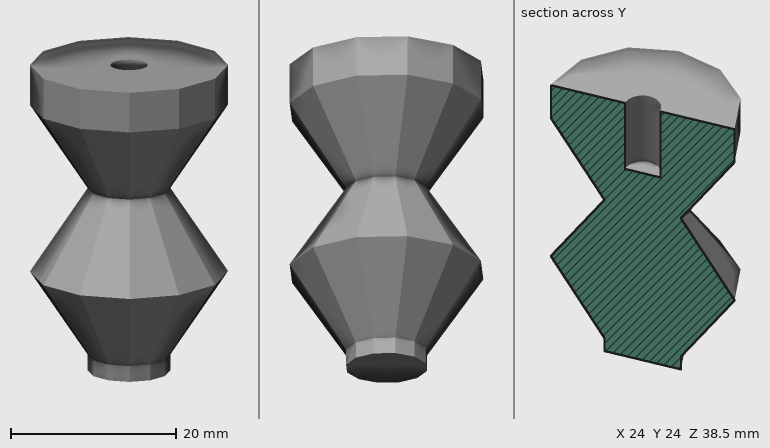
import cadquery as cq

SIDES = 12
TOTAL_HEIGHT = 38.5
WIDE_DIAMETER = 24.0
NARROW_DIAMETER = 10.0
FOOT_HEIGHT = 2.0
HEAD_HEIGHT = 5.0
TAPER_COUNT = 3
HOLE_DIAMETER = 4.5
HOLE_DEPTH = 10.0

taper_height = (TOTAL_HEIGHT - FOOT_HEIGHT - HEAD_HEIGHT) / TAPER_COUNT


def prism(base_z, diameter, height):
    """Straight twelve-sided section with corners on the X and Y axes."""
    return cq.Workplane("XY", origin=(0, 0, base_z)).polygon(SIDES, diameter).extrude(height)


def taper(base_z, bottom_diameter, top_diameter):
    """Twelve-sided frustum between two cross sections."""
    return (
        cq.Workplane("XY", origin=(0, 0, base_z))
        .polygon(SIDES, bottom_diameter)
        .workplane(offset=taper_height)
        .polygon(SIDES, top_diameter)
        .loft(ruled=True)
    )


body = prism(0, NARROW_DIAMETER, FOOT_HEIGHT)

bottom_diameter, top_diameter = NARROW_DIAMETER, WIDE_DIAMETER
for index in range(TAPER_COUNT):
    body = body.union(taper(FOOT_HEIGHT + index * taper_height, bottom_diameter, top_diameter))
    bottom_diameter, top_diameter = top_diameter, bottom_diameter

body = body.union(prism(TOTAL_HEIGHT - HEAD_HEIGHT, WIDE_DIAMETER, HEAD_HEIGHT))

result = body.faces(">Z").workplane(origin=(0, 0, TOTAL_HEIGHT)).hole(HOLE_DIAMETER, HOLE_DEPTH)